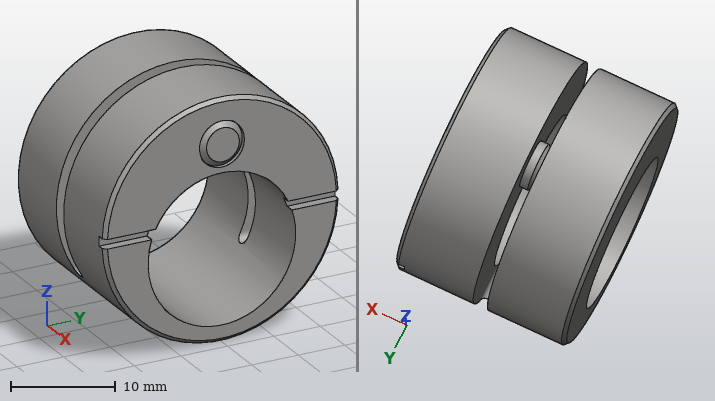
import cadquery as cq

collar_diameter = 25.4
collar_length = 17.95
edge_chamfer = 0.38
bore_diameter = 15.875
bore_drop = 3.0

slot_width = 1.5
slot_start = 8.2
slot_bottom_z = -7.3

notch_width = 1.0
notch_depth = 1.0

screw_diameter = 4.826
screw_z = 7.94
screw_protrusion = 0.21
screw_chamfer = 0.65

collar_radius = collar_diameter / 2
slot_end = slot_start + slot_width
slot_center_x = slot_start + slot_width / 2
screw_end = collar_length + screw_protrusion
cut_length = 2 * collar_diameter


def make_slot():
    """Cutter along Y: straight walls up past the top, half-round bottom."""
    round_start_z = slot_bottom_z + slot_width / 2
    return (
        cq.Workplane("XZ")
        .moveTo(slot_start, collar_diameter)
        .lineTo(slot_start, round_start_z)
        .threePointArc((slot_center_x, slot_bottom_z), (slot_end, round_start_z))
        .lineTo(slot_end, collar_diameter)
        .close()
        .extrude(cut_length / 2, both=True)
    )


def make_notch():
    """Cutter along Y for the shallow groove across the right face."""
    return (
        cq.Workplane("XY")
        .box(2 * notch_depth, cut_length, notch_width)
        .translate((collar_length, 0, 0))
    )


def make_screw_hole():
    """Cutter from the slot to the right face, matching the screw shank."""
    return (
        cq.Workplane("YZ", origin=(slot_end, 0, screw_z))
        .circle(screw_diameter / 2)
        .extrude(collar_length - slot_end)
    )


def make_collar():
    body = cq.Workplane("YZ").circle(collar_radius).extrude(collar_length)
    body = body.faces("<X or >X").chamfer(edge_chamfer)
    bore = (
        cq.Workplane("YZ")
        .center(0, -bore_drop)
        .circle(bore_diameter / 2)
        .extrude(collar_length)
    )
    return body.cut(bore).cut(make_slot()).cut(make_notch()).cut(make_screw_hole())


def make_screw():
    """Half profile turned about the screw axis, chamfered at both ends."""
    screw_radius = screw_diameter / 2
    half_profile = (
        cq.Workplane("XZ", origin=(0, 0, screw_z))
        .moveTo(slot_start, 0)
        .lineTo(slot_start, screw_radius - screw_chamfer)
        .lineTo(slot_start + screw_chamfer, screw_radius)
        .lineTo(screw_end - screw_chamfer, screw_radius)
        .lineTo(screw_end, screw_radius - screw_chamfer)
        .lineTo(screw_end, 0)
        .close()
    )
    return half_profile.revolve(360, (0, 0, 0), (1, 0, 0))


collar = make_collar()
screw = make_screw()

result = cq.Compound.makeCompound([collar.val(), screw.val()])